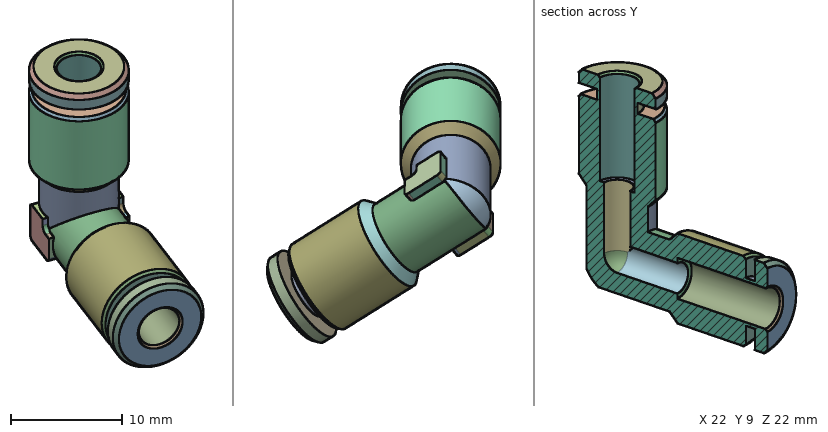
import cadquery as cq
import math

overall_size = 22.0
body_diameter = 9.0
body_radius = body_diameter / 2
arm_length = overall_size - body_radius

flange_depth = 1.5
body_start_depth = 2.5
body_end_depth = 10.47

neck_radius = 7.2 / 2
stem_radius = 4.8 / 2
flange_chamfer = 0.42
body_chamfer_length = 0.3
body_chamfer_width = 0.25
cone_length = 0.95

socket_radius = 4.0 / 2
socket_chamfer = 0.22
passage_radius = 3.0 / 2

corner_sphere_shift = 0.45

pad_width = 8.0
pad_low = -1.8
pad_high = 2.22
pad_notch = 0.9
pad_corner_radius = 0.45
pad_notch_radius = 0.6


def lay_along_x(upright):
    """Turn an upright arm feature about Y so that it lies along +X."""
    return upright.rotate((0, 0, 0), (0, 1, 0), 90)


def revolve_about_z(points):
    profile = cq.Workplane("XZ").polyline(points).close()
    return profile.revolve(360, (0, 0, 0), (0, 1, 0))


def make_fitting_end():
    """Shoulder, body, stem and release flange of the upright arm."""
    flange_bottom = arm_length - flange_depth
    body_top = arm_length - body_start_depth
    body_bottom = arm_length - body_end_depth
    return revolve_about_z([
        (0, arm_length),
        (body_radius - flange_chamfer, arm_length),
        (body_radius, arm_length - flange_chamfer),
        (body_radius, flange_bottom),
        (stem_radius, flange_bottom),
        (stem_radius, body_top),
        (body_radius - body_chamfer_width, body_top),
        (body_radius, body_top - body_chamfer_length),
        (body_radius, body_bottom),
        (neck_radius, body_bottom - cone_length),
        (0, body_bottom - cone_length),
    ])


def make_mitred_neck():
    """Upright neck, cut at 45 degrees where it meets the other neck."""
    neck_top = arm_length - body_end_depth - cone_length
    neck = cq.Workplane("XY").workplane(offset=-neck_radius)
    neck = neck.circle(neck_radius).extrude(neck_top + neck_radius)
    keep = (
        cq.Workplane("XZ")
        .polyline([(-arm_length, -arm_length), (arm_length, arm_length), (-arm_length, arm_length)])
        .close()
        .extrude(body_radius, both=True)
    )
    return neck.intersect(keep)


def make_corner_waste():
    """Material outside the sphere that rounds the elbow corner."""
    waste_start = (2 + math.sqrt(2)) * corner_sphere_shift
    block = cq.Workplane("XY").box(body_radius, body_diameter, body_radius)
    block_center = -waste_start - body_radius / 2
    sphere = cq.Workplane("XY").sphere(neck_radius)
    sphere = sphere.translate((-corner_sphere_shift, 0, -corner_sphere_shift))
    return block.translate((block_center, 0, block_center)).cut(sphere)


def make_pads():
    """Both pads as one block through the elbow; the middle lies inside the necks."""
    block = (
        cq.Workplane("XZ")
        .moveTo(pad_low, pad_low)
        .lineTo(pad_high, pad_low)
        .lineTo(pad_high, pad_notch)
        .lineTo(pad_notch, pad_notch)
        .lineTo(pad_notch, pad_high)
        .lineTo(pad_low, pad_high)
        .close()
        .extrude(pad_width / 2, both=True)
    )
    for x, z in [(pad_low, pad_low), (pad_high, pad_low), (pad_low, pad_high)]:
        corner = cq.selectors.NearestToPointSelector((x, 0, z))
        block = block.edges("|Y").edges(corner).fillet(pad_corner_radius)
    inner_corner = cq.selectors.NearestToPointSelector((pad_notch, 0, pad_notch))
    return block.edges("|Y").edges(inner_corner).fillet(pad_notch_radius)


def make_bore():
    """Tube socket and narrower passage of the upright arm."""
    socket_bottom = arm_length - body_end_depth
    return revolve_about_z([
        (0, 0),
        (passage_radius, 0),
        (passage_radius, socket_bottom),
        (socket_radius, socket_bottom),
        (socket_radius, arm_length - socket_chamfer),
        (socket_radius + socket_chamfer, arm_length),
        (0, arm_length),
    ])


neck = make_mitred_neck()
level_neck = lay_along_x(neck.mirror("YZ"))
elbow = neck.union(level_neck).cut(make_corner_waste())

fitting_end = make_fitting_end()
result = elbow.union(fitting_end).union(lay_along_x(fitting_end)).union(make_pads())

bore = make_bore()
knee = cq.Workplane("XY").sphere(passage_radius)
result = result.cut(bore.union(lay_along_x(bore)).union(knee))